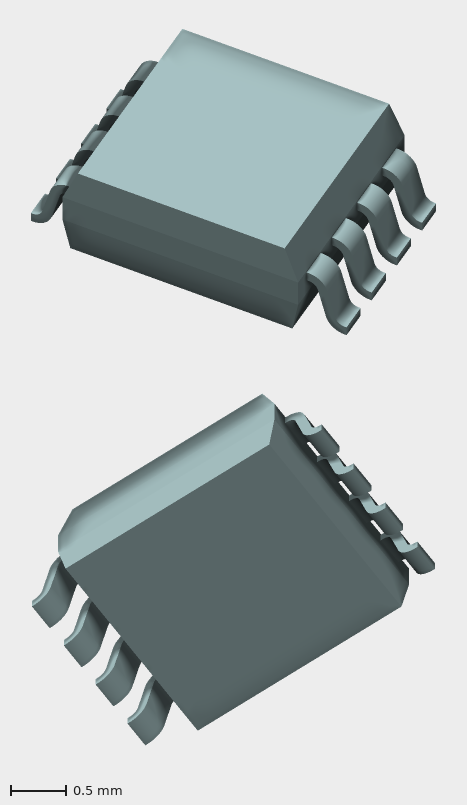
import cadquery as cq
import math

band_length = 2.39
band_width = 2.11
housing_height = 0.99
taper_height = 0.352
top_inset_x = 0.147
bottom_inset_x = 0.07
inset_y = 0.02

lead_span = 3.2
lead_width = 0.28
lead_thickness = 0.1
lead_pitch = 0.5
leads_per_side = 4
lead_top = 0.618
lead_root_length = 0.02
bend_inner_radius = 0.1
lead_slope = math.radians(75)

mark_diameter = 0.12
mark_depth = 0.032
mark_x = -0.8
mark_y = 0.76


def tapered_block(bottom_z, bottom_length, bottom_width, top_z, top_length, top_width):
    return (
        cq.Workplane("XY", origin=(0, 0, bottom_z))
        .rect(bottom_length, bottom_width)
        .workplane(offset=top_z - bottom_z)
        .rect(top_length, top_width)
        .loft(ruled=True)
    )


def mark_disc():
    return (
        cq.Workplane("XY", origin=(mark_x, mark_y, housing_height - mark_depth))
        .circle(mark_diameter / 2)
        .extrude(mark_depth)
    )


def make_housing():
    band_bottom = taper_height
    band_top = housing_height - taper_height
    end_width = band_width - 2 * inset_y
    top_length = band_length - 2 * top_inset_x
    bottom_length = band_length - 2 * bottom_inset_x

    lower = tapered_block(0, bottom_length, end_width, band_bottom, band_length, band_width)
    band = tapered_block(band_bottom, band_length, band_width, band_top, band_length, band_width)
    upper = tapered_block(band_top, band_length, band_width, housing_height, top_length, end_width)
    return lower.union(band).union(upper).cut(mark_disc())


def arc_point(center, radius, angle):
    return (center[0] + radius * math.cos(angle), center[1] + radius * math.sin(angle))


def make_left_lead(y):
    """Lead on the -X side: root at the housing, sloping leg, foot on the ground plane."""
    root_x = -band_length / 2
    foot_x = -lead_span / 2
    root_bottom = lead_top - lead_thickness
    bend_outer_radius = bend_inner_radius + lead_thickness

    upper_center = (root_x - lead_root_length, lead_top - bend_outer_radius)
    lower_center_z = bend_outer_radius
    radius_sum = bend_inner_radius + bend_outer_radius
    center_rise = upper_center[1] - lower_center_z
    leg_length = (center_rise + radius_sum * math.cos(lead_slope)) / math.sin(lead_slope)
    center_run = radius_sum * math.sin(lead_slope) + leg_length * math.cos(lead_slope)
    lower_center = (upper_center[0] - center_run, lower_center_z)

    up = math.pi / 2
    upper_mid = up + lead_slope / 2
    upper_end = up + lead_slope
    down = -math.pi / 2
    lower_mid = down + lead_slope / 2
    lower_end = down + lead_slope

    profile = (
        cq.Workplane("XZ", origin=(0, y + lead_width / 2, 0))
        .moveTo(root_x, lead_top)
        .lineTo(*arc_point(upper_center, bend_outer_radius, up))
        .threePointArc(
            arc_point(upper_center, bend_outer_radius, upper_mid),
            arc_point(upper_center, bend_outer_radius, upper_end),
        )
        .lineTo(*arc_point(lower_center, bend_inner_radius, lower_end))
        .threePointArc(
            arc_point(lower_center, bend_inner_radius, lower_mid),
            arc_point(lower_center, bend_inner_radius, down),
        )
        .lineTo(foot_x, lead_thickness)
        .lineTo(foot_x, 0)
        .lineTo(*arc_point(lower_center, bend_outer_radius, down))
        .threePointArc(
            arc_point(lower_center, bend_outer_radius, lower_mid),
            arc_point(lower_center, bend_outer_radius, lower_end),
        )
        .lineTo(*arc_point(upper_center, bend_inner_radius, upper_end))
        .threePointArc(
            arc_point(upper_center, bend_inner_radius, upper_mid),
            arc_point(upper_center, bend_inner_radius, up),
        )
        .lineTo(root_x, root_bottom)
        .close()
    )
    return profile.extrude(lead_width)


def make_leads():
    leads = []
    for index in range(leads_per_side):
        y = (index - (leads_per_side - 1) / 2) * lead_pitch
        left_lead = make_left_lead(y)
        right_lead = left_lead.rotate((0, y, 0), (0, y, 1), 180)
        leads.append(left_lead.val())
        leads.append(right_lead.val())
    return leads


housing = make_housing()
leads = make_leads()
mark = mark_disc()

result = cq.Compound.makeCompound([housing.val(), *leads, mark.val()])